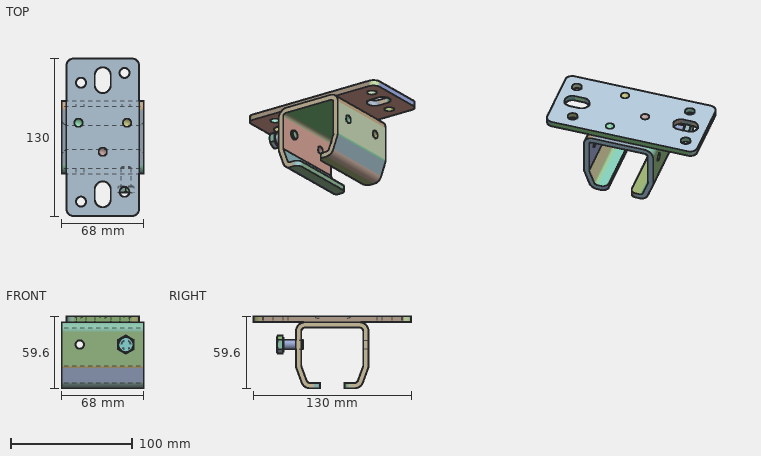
import cadquery as cq
import math


plate_width = 60.0
plate_length = 130.0
plate_thickness = 5.0
plate_corner_radius = 6.0
slot_width = 13.0
slot_length = 21.0
slot_offset = 47.0
fixing_hole_diameter = 8.0
fixing_hole_x = 18.0
fixing_hole_inner_y = 45.0
fixing_hole_outer_y = 53.0
dimple_diameter = 6.9
dimple_depth = 1.5
dimple_sphere_radius = (dimple_diameter**2 / 4 + dimple_depth**2) / (2 * dimple_depth)
dimple_x = 20.0
dimple_y = 12.0

rail_length = 68.0
rail_width = 60.0
rail_height = 54.6
wall = 4.5
bend_inner_radius = 3.0
bend_outer_radius = bend_inner_radius + wall
side_bend_depth = 36.9
side_bend_angle = math.radians(20)
lip_gap = 20.0
lip_corner_radius = 5.0
side_hole_diameter = 6.8
side_hole_x = 19.0
side_hole_depth = 18.5

bolt_diameter = 8.0
bolt_tip_diameter = 6.8
bolt_tip_length = 0.8
bolt_length = 16.1
bolt_tip_y = -23.9
under_head_radius = 0.4
bearing_diameter = 11.6
bearing_thickness = 0.8
head_across_flats = 13.0
head_height = 4.8
head_face_diameter = 0.95 * head_across_flats
head_chamfer_angle = math.radians(30)


def make_plate():
    plate = (
        cq.Workplane("XY")
        .rect(plate_width, plate_length)
        .extrude(plate_thickness)
        .edges("|Z")
        .fillet(plate_corner_radius)
    )
    slots = (
        cq.Workplane("XY")
        .pushPoints([(0, slot_offset), (0, -slot_offset)])
        .slot2D(slot_length, slot_width, 90)
        .extrude(plate_thickness)
    )
    fixing_holes = (
        cq.Workplane("XY")
        .pushPoints([
            (-fixing_hole_x, fixing_hole_inner_y),
            (fixing_hole_x, fixing_hole_outer_y),
            (-fixing_hole_x, -fixing_hole_outer_y),
            (fixing_hole_x, -fixing_hole_inner_y),
        ])
        .circle(fixing_hole_diameter / 2)
        .extrude(plate_thickness)
    )
    dimples = (
        cq.Workplane("XY", origin=(0, 0, plate_thickness - dimple_depth + dimple_sphere_radius))
        .pushPoints([(-dimple_x, dimple_y), (dimple_x, dimple_y), (0, -dimple_y)])
        .sphere(dimple_sphere_radius)
    )
    return plate.cut(slots).cut(fixing_holes).cut(dimples)


def rail_section(offset, bend_radius, side_bend_radius):
    """Solid C outline, moved inward by offset, with its bends rounded."""
    side_y = rail_width / 2 - offset
    bend_z = -side_bend_depth + offset * math.tan(side_bend_angle / 2)
    bottom_z = -rail_height + offset
    lip_y = side_y - (bend_z - bottom_z) * math.tan(side_bend_angle)
    section = (
        cq.Workplane("YZ", origin=(-rail_length / 2, 0, 0))
        .polyline([
            (side_y, -offset),
            (side_y, bend_z),
            (lip_y, bottom_z),
            (-lip_y, bottom_z),
            (-side_y, bend_z),
            (-side_y, -offset),
        ])
        .close()
        .extrude(rail_length)
    )
    section = section.edges("|X and (>Z or <Z)").fillet(bend_radius)
    if side_bend_radius > 0:
        bend_edges = cq.selectors.BoxSelector(
            (-rail_length, -rail_width, bend_z - wall / 10),
            (rail_length, rail_width, bend_z + wall / 10),
        )
        section = section.edges(bend_edges).fillet(side_bend_radius)
    return section


def make_rail():
    outside = rail_section(0, bend_outer_radius, wall)
    inside = rail_section(wall, bend_inner_radius, 0)
    rail = outside.cut(inside)

    mouth = cq.Workplane("XY").box(rail_length, lip_gap, 2 * wall).translate((0, 0, -rail_height))
    rail = rail.cut(mouth)
    lip_corners = cq.selectors.BoxSelector(
        (-rail_length, -lip_gap / 2 - wall / 10, -rail_height),
        (rail_length, lip_gap / 2 + wall / 10, -rail_height + wall),
    )
    rail = rail.edges("|Z").edges(lip_corners).fillet(lip_corner_radius)

    side_holes = (
        cq.Workplane("XZ", origin=(0, rail_width / 2, -side_hole_depth))
        .pushPoints([(-side_hole_x, 0), (side_hole_x, 0)])
        .circle(side_hole_diameter / 2)
        .extrude(rail_width)
    )
    bolt_hole = (
        cq.Workplane("XZ", origin=(side_hole_x, 0, -side_hole_depth))
        .circle(bolt_diameter / 2)
        .extrude(rail_width / 2)
    )
    return rail.cut(side_holes).cut(bolt_hole)


def bolt_plane(y):
    """Plane across the bolt axis, facing from the tip towards the head."""
    return cq.Workplane("XZ", origin=(side_hole_x, y, -side_hole_depth))


def make_bolt_head(bearing_y):
    head_y = bearing_y - bearing_thickness
    across_corners = head_across_flats / math.cos(math.pi / 6)
    bearing = bolt_plane(bearing_y).circle(bearing_diameter / 2).extrude(bearing_thickness)
    hexagon = (
        bolt_plane(head_y)
        .transformed(rotate=(0, 0, 90))
        .polygon(6, across_corners)
        .extrude(head_height)
    )
    face_radius = head_face_diameter / 2
    cone_radius = face_radius + head_height / math.tan(head_chamfer_angle)
    cone = cq.Workplane(cq.Solid.makeCone(
        cone_radius,
        face_radius,
        head_height,
        cq.Vector(side_hole_x, head_y, -side_hole_depth),
        cq.Vector(0, -1, 0),
    ))
    return bearing.union(hexagon.intersect(cone))


def make_bolt():
    tip_chamfer = (bolt_diameter - bolt_tip_diameter) / 2
    shank = (
        bolt_plane(bolt_tip_y)
        .circle(bolt_diameter / 2)
        .extrude(bolt_length)
        .faces(">Y")
        .chamfer(bolt_tip_length, tip_chamfer)
    )
    bearing_y = bolt_tip_y - bolt_length
    bolt = shank.union(make_bolt_head(bearing_y))
    under_head = cq.selectors.BoxSelector(
        (side_hole_x - bolt_diameter, bearing_y - bearing_thickness / 2, -side_hole_depth - bolt_diameter),
        (side_hole_x + bolt_diameter, bearing_y + bearing_thickness / 2, -side_hole_depth + bolt_diameter),
    )
    bearing_edges = bolt.edges(under_head)
    return bearing_edges.edges(cq.selectors.RadiusNthSelector(0)).fillet(under_head_radius)


plate = make_plate()
rail = make_rail()
bolt = make_bolt()

result = cq.Compound.makeCompound([plate.val(), rail.val(), bolt.val()])